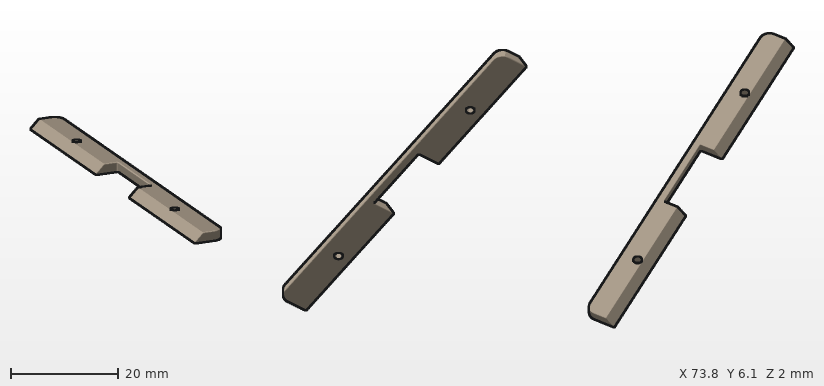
import cadquery as cq
import math

length = 73.8
depth = 6.1
height = 2.0
back_corner_radius = 2.0

edge_radius = 0.2

slope_angle = math.radians(45)
slope_run = height / math.tan(slope_angle)
sharp_edge_y = edge_radius - edge_radius / math.tan(slope_angle / 2)

notch_width = 14.8
back_strip_depth = 1.6
notch_back_y = depth - back_strip_depth

hole_diameter = 1.6
hole_spacing = 44.0
hole_from_front = 2.7


def sloped_bar():
    """Bar with a sloped front that meets the base, at Z = 0, in a sharp edge."""
    profile = [
        (sharp_edge_y, 0),
        (depth, 0),
        (depth, height),
        (sharp_edge_y + slope_run, height),
    ]
    return cq.Workplane("YZ").polyline(profile).close().extrude(length / 2, both=True)


def notch_cutter():
    notch_depth = notch_back_y - sharp_edge_y
    block = cq.Workplane("XY").box(notch_width, notch_depth, height, centered=(True, False, False))
    return block.edges("|Z and >Y").fillet(edge_radius).translate((0, sharp_edge_y, 0))


def mounting_holes():
    centers = [(side * hole_spacing / 2, hole_from_front) for side in (-1, 1)]
    return cq.Workplane("XY").pushPoints(centers).circle(hole_diameter / 2).extrude(height)


bar = sloped_bar().edges("|Z and >Y").fillet(back_corner_radius)
bar = bar.cut(notch_cutter())
bar = bar.edges("not(|Z)").fillet(edge_radius)
result = bar.cut(mounting_holes())